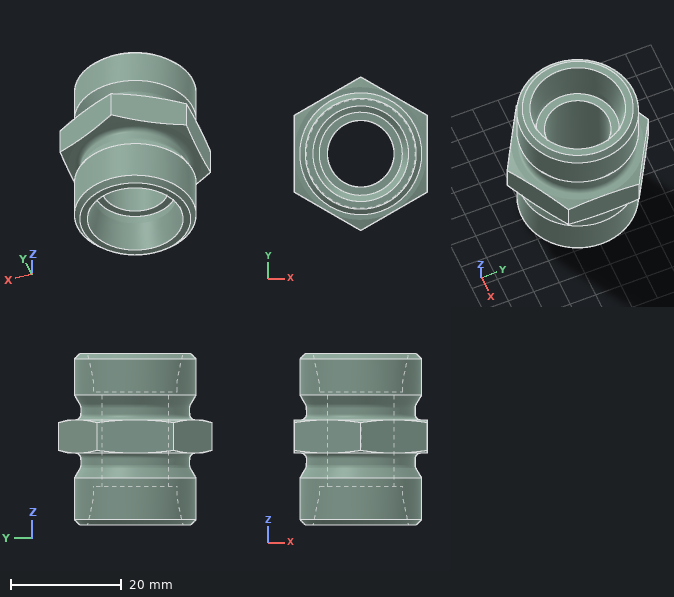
import cadquery as cq
import math

total_height = 31.0
upper_stub_height = 12.0
hex_height = 6.0
upper_thread_length = 7.5
lower_thread_length = 8.5

hex_across_flats = 24.02
hex_chamfer_diameter = 23.95
hex_chamfer_angle = 15.0
thread_diameter = 22.0
groove_diameter = 19.7
groove_flank_angle = 30.0
groove_fillet = 1.0
end_chamfer = 1.0

bore_diameter = 12.0
socket_diameter = 15.0
socket_mouth_diameter = 17.27
socket_half_angle = 12.0
socket_depth = 7.0

hex_corner_diameter = hex_across_flats / math.cos(math.radians(30))
hex_top = total_height - upper_stub_height
hex_bottom = hex_top - hex_height


def make_hex():
    """Hexagon with corners on the Y axis, its corners chamfered at both faces."""
    prism = (
        cq.Workplane("XY", origin=(0, 0, hex_bottom))
        .polygon(6, hex_corner_diameter)
        .extrude(hex_height)
        .rotate((0, 0, 0), (0, 0, 1), 30)
    )
    face_radius = hex_chamfer_diameter / 2
    outer_radius = hex_corner_diameter / 2 + 0.3
    drop = (outer_radius - face_radius) * math.tan(math.radians(hex_chamfer_angle))
    envelope = (
        cq.Workplane("XZ")
        .moveTo(0, hex_bottom)
        .lineTo(face_radius, hex_bottom)
        .lineTo(outer_radius, hex_bottom + drop)
        .lineTo(outer_radius, hex_top - drop)
        .lineTo(face_radius, hex_top)
        .lineTo(0, hex_top)
        .close()
        .revolve(360, (0, 0, 0), (0, 1, 0))
    )
    return prism.intersect(envelope)


def add_stub(body, end_z, face_z, thread_length):
    """Add a threaded end with a relief groove that is filleted into the hexagon."""
    inward = math.copysign(1, face_z - end_z)
    thread_radius = thread_diameter / 2
    groove_radius = groove_diameter / 2
    flank_length = (thread_radius - groove_radius) / math.tan(math.radians(groove_flank_angle))
    thread_end = end_z + inward * thread_length
    fillet_start = face_z - inward * groove_fillet
    arc_offset = groove_fillet * (1 - math.sqrt(0.5))
    stub = (
        cq.Workplane("XZ")
        .moveTo(0, end_z)
        .lineTo(thread_radius - end_chamfer, end_z)
        .lineTo(thread_radius, end_z + inward * end_chamfer)
        .lineTo(thread_radius, thread_end)
        .lineTo(groove_radius, thread_end + inward * flank_length)
        .lineTo(groove_radius, fillet_start)
        .threePointArc(
            (groove_radius + arc_offset, face_z - inward * arc_offset),
            (groove_radius + groove_fillet, face_z),
        )
        .lineTo(0, face_z)
        .close()
        .revolve(360, (0, 0, 0), (0, 1, 0))
    )
    corner_z = thread_end + inward * flank_length
    margin = 0.03
    corner = cq.selectors.BoxSelector(
        (-thread_radius, -thread_radius, corner_z - margin),
        (thread_radius, thread_radius, corner_z + margin),
    )
    stub = stub.edges("%CIRCLE").edges(corner).fillet(groove_fillet)
    return body.union(stub)


def cut_socket(body, end_z, inward):
    """Cut a tapered mouth that runs into a straight, flat-bottomed tube seat."""
    mouth_radius = socket_mouth_diameter / 2
    seat_radius = socket_diameter / 2
    taper_length = (mouth_radius - seat_radius) / math.tan(math.radians(socket_half_angle))
    socket = (
        cq.Workplane("XZ")
        .moveTo(0, end_z)
        .lineTo(mouth_radius, end_z)
        .lineTo(seat_radius, end_z + inward * taper_length)
        .lineTo(seat_radius, end_z + inward * socket_depth)
        .lineTo(0, end_z + inward * socket_depth)
        .close()
        .revolve(360, (0, 0, 0), (0, 1, 0))
    )
    return body.cut(socket)


def cut_bore(body):
    """Cut the through bore along the Z axis."""
    bore = cq.Workplane("XY").circle(bore_diameter / 2).extrude(total_height)
    return body.cut(bore)


body = make_hex()
body = add_stub(body, total_height, hex_top, upper_thread_length)
body = add_stub(body, 0, hex_bottom, lower_thread_length)
body = cut_bore(body)
body = cut_socket(body, total_height, -1)
body = cut_socket(body, 0, 1)
result = body